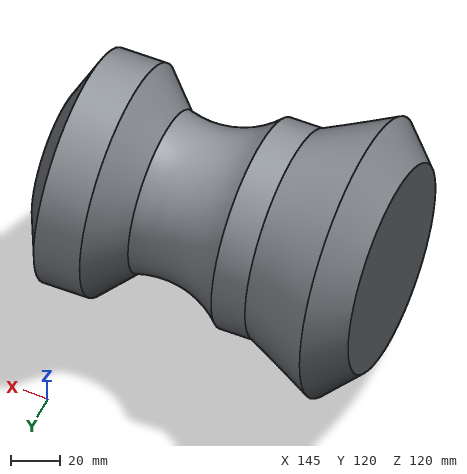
import cadquery as cq

rim_x = 15.0
collar_start_x = 45.2
collar_end_x = 60.0
neck_end_x = 100.8
head_start_x = 115.5
head_end_x = 135.7
length = 145.0

collar_radius = 90.0 / 2
rim_radius = 120.0 / 2
neck_radius = 33.2
neck_waist_x = 88.7
neck_end_radius = 35.0
head_radius = 100.0 / 2
end_face_radius = 30.3

profile = (
    cq.Workplane("XY")
    .moveTo(0, 0)
    .lineTo(0, collar_radius)
    .lineTo(rim_x, rim_radius)
    .lineTo(collar_start_x, collar_radius)
    .lineTo(collar_end_x, collar_radius)
    .threePointArc((neck_waist_x, neck_radius), (neck_end_x, neck_end_radius))
    .lineTo(head_start_x, head_radius)
    .lineTo(head_end_x, head_radius)
    .lineTo(length, end_face_radius)
    .lineTo(length, 0)
    .close()
)

result = profile.revolve(360, (0, 0, 0), (1, 0, 0))